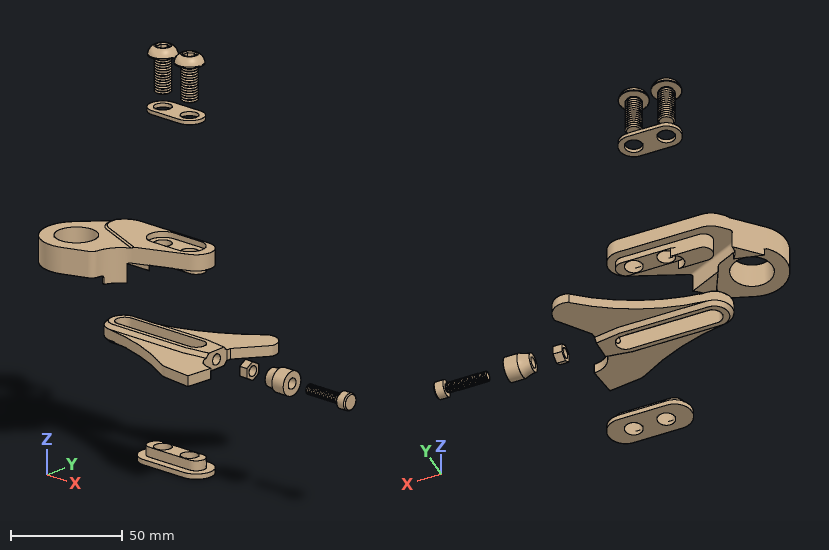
import cadquery as cq
import math


TOUCHING_GAP = 0.002

SCREW_SPACING = 16.0
SCREW_XS = (0, SCREW_SPACING)

THREAD_DEPTH_RATIO = 0.6

BUTTON_TOP_Z = 142.7
BUTTON_RADIUS = 7.0
BUTTON_HEIGHT = 4.5
BUTTON_RIM = 0.6
BUTTON_DOME_POINT = (6.0, 2.8)
BUTTON_FLAT_RADIUS = 4.0
BUTTON_THREAD_RADIUS = 4.0
BUTTON_THREAD_LENGTH = 18.0
BUTTON_PITCH = 1.25
SOCKET_ACROSS_FLATS = 5.0
SOCKET_DEPTH = 2.6
SOCKET_MOUTH_RADIUS = 3.3
SOCKET_MOUTH_DEPTH = 0.6

WASHER_RADIUS = 7.2
WASHER_THICKNESS = 2.0
WASHER_BOTTOM_Z = 111.3
CLEARANCE_HOLE = 8.5

KEY_RADIUS = 4.6
KEY_LEFT_X = -4.0
KEY_RIGHT_X = 20.0
TNUT_BOTTOM_Z = -57.5
TNUT_FLANGE_RADIUS = 8.6
TNUT_FLANGE_THICKNESS = 2.6
TNUT_KEY_HEIGHT = 4.8

RING_CENTER = (-32.0, -22.5)
RING_RADIUS = 17.0
RING_HOLE = 20.0
RING_TOP_Z = 49.8
RING_BOTTOM_Z = 37.0
BITE_CENTER = (3.8, -32.6)
BITE_RADIUS = 15.6
LOBE_ANGLE = 173.6
LOBE_RADIUS = 4.0
SHOULDER_CENTER = (-21.0, -2.0)
SHOULDER_RADIUS = 10.6
ARM_RADIUS = 8.6
ARM_BOTTOM_Z = 42.6
WALL_BOTTOM_Z = 32.8
STEP_FILLET = 1.0
ARM_SIDE_FAR_X = 40.0
ARM_SIDE_TOP_Y = 20.0
POCKET_FAR_Y = -40.0
PLATEAU_FAR_Y = -36.8
PLATEAU_NOSE_X = -23.0
PLATEAU_NOSE_RADIUS = 8.8
PLATEAU_HEIGHT = 0.6
PLATEAU_BEVEL_HEIGHT = 0.58
PLATEAU_BEVEL_WIDTH = 1.0
RELIEF_OUTLINE = [(-60, -14.0), (-23.6, -5.2), (-12.5, -26.8), (-10, -28), (-10, -50), (-60, -50)]
RECESS_RADIUS = 7.5
RECESS_DEPTH = 2.8
HANGER_KEY_LEFT_X = -18.2
HANGER_KEY_HEIGHT = 8.0

ARM_THICKNESS = 5.2
HUB_THICKNESS = 9.0
HUB_RADIUS = 8.8
HUB_LEFT_X = -23.6
HUB_TAPER_X = 20.0
HUB_END_X = 32.2
HUB_END_HALF_WIDTH = 7.0
LOWER_ARM_CURVE = 124.1
LOWER_ARM_ANGLE = -98.5
KNEE_RADIUS = 10.0
KNEE_ANGLE = 58.4
LOWER_TIP_CORNERS = [(40.8, -29.0, 0), (42.2, -15.0, 0)]
NOTCH = (41.8, -5.0, -9.8)
NOTCH_TOP_Y = 9.5
UPPER_TIP_ARCS = [(43.2, 25.0, 0.6), (35.8, 26.0, 8.0), (33.2, 33.0, 0.6)]
UPPER_ARM_CURVE = 100.0
UPPER_ARM_ANGLE = 95.0
POCKET_CLEARANCE = 0.5
SLOT_LEFT_X = -22.8
ADJUSTER_HOLE = 5.2

NUT_X = 49.6
NUT_THICKNESS = 4.5
NUT_ACROSS_FLATS = 8.0
BUSHING_X = 65.5
BUSHING_LENGTH = 12.2
BUSHING_STEP = 5.5
BUSHING_NOSE_RADIUS = 4.6
BUSHING_RADIUS = 6.0
BUSHING_FLARE_POINT = (2.8, 5.0)
CAP_TIP_X = 87.7
CAP_THREAD_RADIUS = 2.5
CAP_THREAD_LENGTH = 20.5
CAP_PITCH = 0.8
CAP_HEAD_RADIUS = 4.2
CAP_HEAD_LENGTH = 4.8
CAP_HEAD_CHAMFER = 0.6


def belt(circles, bottom_z, top_z):
    """Prism whose outline runs counter-clockwise round (x, y, radius) circles joined by tangent lines.

    A negative radius is a concave arc and a zero radius is a sharp corner.
    """
    normals = []
    for (x1, y1, r1), (x2, y2, r2) in zip(circles, circles[1:] + circles[:1]):
        sine = (r2 - r1) / math.hypot(x2 - x1, y2 - y1)
        lean = math.asin(max(-1, min(1, sine)))
        normals.append(math.atan2(y2 - y1, x2 - x1) - lean - math.pi / 2)

    outline = cq.Workplane("XY", origin=(0, 0, bottom_z))
    pen = None
    for i, (x, y, r) in enumerate(circles):
        turn = (normals[i] - normals[i - 1]) % (2 * math.pi)
        if r < 0:
            turn -= 2 * math.pi
        angles = [normals[i - 1] + turn * part for part in (0, 0.5, 1)]
        first, middle, last = [(x + r * math.cos(a), y + r * math.sin(a)) for a in angles]
        if pen is None:
            outline = outline.moveTo(*first)
        elif math.dist(first, pen) > TOUCHING_GAP:
            outline = outline.lineTo(*first)
        if r != 0:
            outline = outline.threePointArc(middle, last)
        pen = last
    return outline.close().extrude(top_z - bottom_z)


def touching(circle, radius, angle):
    """Belt circle that touches the given one on its outside, in the given direction in degrees."""
    x, y, r = circle
    reach = abs(r) + abs(radius)
    direction = math.radians(angle)
    return (x + reach * math.cos(direction), y + reach * math.sin(direction), radius)


def slot(left_x, right_x, radius, bottom_z, top_z):
    return belt([(left_x, 0, radius), (right_x, 0, radius)], bottom_z, top_z)


def screw_holes(bottom_z, top_z):
    holes = cq.Workplane("XY", origin=(0, 0, bottom_z)).pushPoints([(x, 0) for x in SCREW_XS])
    return holes.circle(CLEARANCE_HOLE / 2).extrude(top_z - bottom_z)


def thread(radius, length, pitch):
    """Ringed thread along +Z, from its tip at Z = 0."""
    root = radius - THREAD_DEPTH_RATIO * pitch
    profile = cq.Workplane("XZ").lineTo(root, 0)
    count = int(length / pitch)
    for i in range(count):
        profile = profile.lineTo(radius, (i + 0.5) * pitch).lineTo(root, (i + 1) * pitch)
    return profile.lineTo(root, length).lineTo(0, length).close().revolve(360, (0, 0), (0, 1))


def make_button_screw(x):
    head = (
        cq.Workplane("XZ")
        .lineTo(BUTTON_RADIUS, 0)
        .lineTo(BUTTON_RADIUS, BUTTON_RIM)
        .threePointArc(BUTTON_DOME_POINT, (BUTTON_FLAT_RADIUS, BUTTON_HEIGHT))
        .lineTo(0, BUTTON_HEIGHT)
        .close()
        .revolve(360, (0, 0), (0, 1))
    )
    top = cq.Workplane("XY", origin=(0, 0, BUTTON_HEIGHT))
    socket = top.polygon(6, SOCKET_ACROSS_FLATS, circumscribed=True).extrude(-SOCKET_DEPTH)
    mouth = top.circle(SOCKET_MOUTH_RADIUS).extrude(-SOCKET_MOUTH_DEPTH, taper=45)
    shank = thread(BUTTON_THREAD_RADIUS, BUTTON_THREAD_LENGTH, BUTTON_PITCH)
    screw = head.cut(socket).cut(mouth).union(shank.translate((0, 0, -BUTTON_THREAD_LENGTH)))
    return screw.translate((x, 0, BUTTON_TOP_Z - BUTTON_HEIGHT))


def make_washer():
    top_z = WASHER_BOTTOM_Z + WASHER_THICKNESS
    plate = slot(0, SCREW_SPACING, WASHER_RADIUS, WASHER_BOTTOM_Z, top_z)
    return plate.cut(screw_holes(WASHER_BOTTOM_Z, top_z))


def make_tnut():
    flange_top_z = TNUT_BOTTOM_Z + TNUT_FLANGE_THICKNESS
    top_z = flange_top_z + TNUT_KEY_HEIGHT
    flange = slot(KEY_LEFT_X, KEY_RIGHT_X, TNUT_FLANGE_RADIUS, TNUT_BOTTOM_Z, flange_top_z)
    key = slot(KEY_LEFT_X, KEY_RIGHT_X, KEY_RADIUS, flange_top_z, top_z)
    return flange.union(key).cut(screw_holes(TNUT_BOTTOM_Z, top_z))


def hanger_outline(bottom_z, top_z):
    bite = (*BITE_CENTER, -BITE_RADIUS)
    circles = [
        (*RING_CENTER, RING_RADIUS),
        touching(bite, LOBE_RADIUS, LOBE_ANGLE),
        bite,
        (KEY_RIGHT_X, 0, ARM_RADIUS),
        (*SHOULDER_CENTER, SHOULDER_RADIUS),
    ]
    return belt(circles, bottom_z, top_z)


def arm_side_blank(nose_x, nose_radius, far_y, bottom_z, top_z):
    """Block over the arm side of the hanger, with a round nose and a slanted edge towards the ring."""
    circles = [
        (nose_x, 0, nose_radius),
        (ARM_SIDE_FAR_X, far_y, 0),
        (ARM_SIDE_FAR_X, ARM_SIDE_TOP_Y, 0),
        (nose_x - nose_radius, ARM_SIDE_TOP_Y, 0),
    ]
    return belt(circles, bottom_z, top_z)


def make_hanger():
    plateau_top_z = RING_TOP_Z + PLATEAU_HEIGHT
    body = hanger_outline(WALL_BOTTOM_Z, RING_TOP_Z)

    plateau = arm_side_blank(PLATEAU_NOSE_X, PLATEAU_NOSE_RADIUS, PLATEAU_FAR_Y, RING_TOP_Z, plateau_top_z)
    plateau = plateau.faces(">Z").edges().chamfer(PLATEAU_BEVEL_HEIGHT, PLATEAU_BEVEL_WIDTH)
    body = body.union(plateau.intersect(hanger_outline(RING_TOP_Z, plateau_top_z)))

    pocket_radius = HUB_RADIUS + POCKET_CLEARANCE
    pocket = arm_side_blank(HUB_LEFT_X, pocket_radius, POCKET_FAR_Y, WALL_BOTTOM_Z, ARM_BOTTOM_Z)
    body = body.cut(pocket.faces(">Z").edges().fillet(STEP_FILLET))

    relief = cq.Workplane("XY", origin=(0, 0, WALL_BOTTOM_Z)).polyline(RELIEF_OUTLINE).close()
    relief = relief.extrude(RING_BOTTOM_Z - WALL_BOTTOM_Z)
    body = body.cut(relief.faces(">Z").edges().fillet(STEP_FILLET))

    key_bottom_z = ARM_BOTTOM_Z - HANGER_KEY_HEIGHT
    key = slot(HANGER_KEY_LEFT_X, KEY_RIGHT_X, KEY_RADIUS, key_bottom_z, ARM_BOTTOM_Z)
    body = body.union(key)
    body = body.cut(slot(KEY_LEFT_X, KEY_RIGHT_X, KEY_RADIUS, key_bottom_z, key_bottom_z + TNUT_KEY_HEIGHT))

    body = body.cut(slot(0, SCREW_SPACING, RECESS_RADIUS, plateau_top_z - RECESS_DEPTH, plateau_top_z))
    body = body.cut(screw_holes(WALL_BOTTOM_Z, plateau_top_z))
    ring_hole = cq.Workplane("XY", origin=(*RING_CENTER, WALL_BOTTOM_Z)).circle(RING_HOLE / 2)
    return body.cut(ring_hole.extrude(plateau_top_z - WALL_BOTTOM_Z))


def make_dropout():
    nose = (HUB_LEFT_X, 0, HUB_RADIUS)
    lower_curve = touching(nose, -LOWER_ARM_CURVE, LOWER_ARM_ANGLE)
    outline = [
        nose,
        lower_curve,
        touching(lower_curve, KNEE_RADIUS, KNEE_ANGLE),
        *LOWER_TIP_CORNERS,
        NOTCH,
        (HUB_END_X, NOTCH_TOP_Y, 0),
        *UPPER_TIP_ARCS,
        touching(nose, -UPPER_ARM_CURVE, UPPER_ARM_ANGLE),
    ]
    arms = belt(outline, -ARM_THICKNESS / 2, ARM_THICKNESS / 2)
    trim = 6
    beyond_x = HUB_END_X + trim
    slope = (HUB_RADIUS - HUB_END_HALF_WIDTH) / (HUB_END_X - HUB_TAPER_X)
    beyond_y = HUB_END_HALF_WIDTH - trim * slope
    hub = belt(
        [
            nose,
            (HUB_TAPER_X, -HUB_RADIUS, 0),
            (beyond_x, -beyond_y, 0),
            (beyond_x, beyond_y, 0),
            (HUB_TAPER_X, HUB_RADIUS, 0),
        ],
        -HUB_THICKNESS / 2,
        HUB_THICKNESS / 2,
    )
    hub = hub.faces("<Z or >Z").edges().chamfer((HUB_THICKNESS - ARM_THICKNESS) / 2)
    end_face = cq.Workplane("YZ", origin=(HUB_END_X, 0, 0))
    hub = hub.cut(end_face.rect(4 * HUB_RADIUS, 2 * HUB_THICKNESS).extrude(2 * trim))
    adjuster_hole = cq.Workplane("YZ").circle(ADJUSTER_HOLE / 2).extrude(HUB_END_X)
    key_slot = slot(SLOT_LEFT_X, KEY_RIGHT_X, KEY_RADIUS, -HUB_THICKNESS, HUB_THICKNESS)
    return arms.union(hub).cut(adjuster_hole).cut(key_slot)


def make_nut():
    hexagon = cq.Workplane("YZ", origin=(NUT_X, 0, 0)).polygon(6, NUT_ACROSS_FLATS, circumscribed=True)
    nut = hexagon.extrude(NUT_THICKNESS)
    return nut.faces("<X").workplane().circle(CAP_THREAD_RADIUS).cutThruAll()


def make_bushing():
    return (
        cq.Workplane("XY", origin=(BUSHING_X, 0, 0))
        .moveTo(0, ADJUSTER_HOLE / 2)
        .lineTo(0, BUSHING_NOSE_RADIUS)
        .threePointArc(BUSHING_FLARE_POINT, (BUSHING_STEP, BUSHING_RADIUS))
        .lineTo(BUSHING_LENGTH, BUSHING_RADIUS)
        .lineTo(BUSHING_LENGTH, ADJUSTER_HOLE / 2)
        .close()
        .revolve(360, (0, 0), (1, 0))
    )


def make_cap_screw():
    shank = thread(CAP_THREAD_RADIUS, CAP_THREAD_LENGTH, CAP_PITCH)
    head = cq.Workplane("XY", origin=(0, 0, CAP_THREAD_LENGTH)).circle(CAP_HEAD_RADIUS)
    head = head.extrude(CAP_HEAD_LENGTH)
    head = head.faces(">Z").edges().chamfer(CAP_HEAD_CHAMFER)
    screw = shank.union(head).rotate((0, 0, 0), (0, 1, 0), 90)
    return screw.translate((CAP_TIP_X, 0, 0))


button_screws = [make_button_screw(x) for x in SCREW_XS]
washer = make_washer()
hanger = make_hanger()
dropout = make_dropout()
tnut = make_tnut()
nut = make_nut()
bushing = make_bushing()
cap_screw = make_cap_screw()

bodies = [*button_screws, washer, hanger, dropout, tnut, nut, bushing, cap_screw]
result = cq.Compound.makeCompound([body.solids().val() for body in bodies])